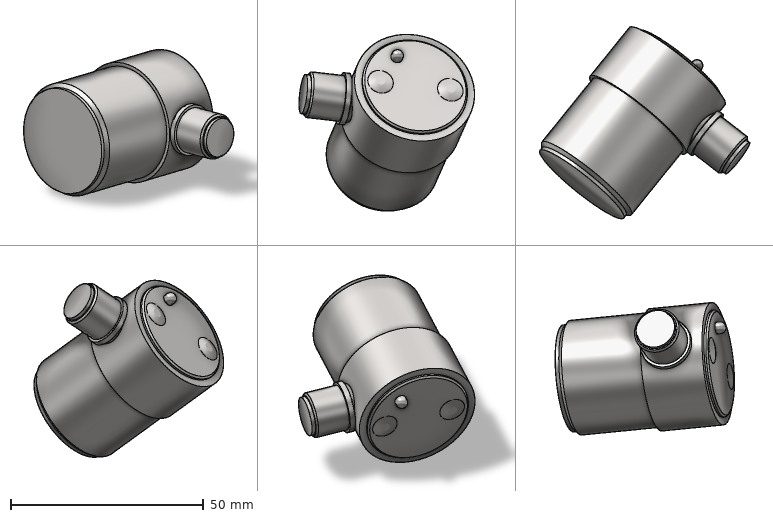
import cadquery as cq
import math

collar_radius = 32 / 2
barrel_radius = 30 / 2
nose_radius = 28 / 2
nose_length = 1
nose_taper = barrel_radius - nose_radius
collar_front = 23.5
collar_back = 40
cap_height = 1
cap_chamfer = 0.5
cap_radius = nose_radius
cap_face = collar_back + cap_height

connector_y = 30.5
connector_radius = 12 / 2
flange_radius = 13.5 / 2
flange_thickness = 1.5
tip_radius = 10.3 / 2
tip_length = 1
connector_chamfer = 0.5
connector_end = 27.5

lamp_x = 5
lamp_z = 7.9
lamp_radius = 3.1 / 2
lamp_end = 43.5

screw_offset = 9.3
screw_head_radius = 3.4
screw_flat_radius = 2.5 / 2
screw_head_height = 0.6


def make_body():
    """Stepped round body with tapered nose and chamfered cap."""
    return (
        cq.Workplane("XY")
        .lineTo(nose_radius, 0)
        .lineTo(nose_radius, nose_length)
        .lineTo(barrel_radius, nose_length + nose_taper)
        .lineTo(barrel_radius, collar_front)
        .lineTo(collar_radius, collar_front)
        .lineTo(collar_radius, collar_back)
        .lineTo(cap_radius, collar_back)
        .lineTo(cap_radius, cap_face - cap_chamfer)
        .lineTo(cap_radius - cap_chamfer, cap_face)
        .lineTo(0, cap_face)
        .close()
        .revolve(360, (0, 0, 0), (0, 1, 0))
    )


def connector_section(start, end, radius):
    """Solid cylinder on the connector axis from X = start to X = end."""
    return (
        cq.Workplane("YZ", origin=(start, connector_y, 0))
        .circle(radius)
        .extrude(end - start)
    )


def make_connector():
    """Side connector: stem from the body axis, flange and reduced tip."""
    stem_end = connector_end - tip_length
    stem = connector_section(0, stem_end, connector_radius)
    stem = stem.faces(">X").chamfer(connector_chamfer)
    flange = connector_section(collar_radius, collar_radius + flange_thickness, flange_radius)
    tip = connector_section(stem_end, connector_end, tip_radius)
    return stem.union(flange).union(tip)


def make_lamp():
    """Short round pin ending in a hemisphere, rooted inside the cap."""
    dome_centre = lamp_end - lamp_radius
    pin = (
        cq.Workplane("XZ", origin=(lamp_x, collar_back, lamp_z))
        .circle(lamp_radius)
        .extrude(collar_back - dome_centre)
    )
    dome = cq.Workplane("XY", origin=(lamp_x, dome_centre, lamp_z)).sphere(lamp_radius)
    return pin.union(dome)


def make_screw_head(x):
    """Shallow spherical dome with a flat crown, rooted inside the cap."""
    radii_term = screw_head_radius**2 - screw_flat_radius**2
    centre_depth = (radii_term - screw_head_height**2) / (2 * screw_head_height)
    sphere_radius = math.hypot(screw_head_radius, centre_depth)
    sphere = cq.Workplane("XY", origin=(x, cap_face - centre_depth, 0)).sphere(sphere_radius)
    root_length = cap_height + screw_head_height
    column = (
        cq.Workplane("XZ", origin=(x, collar_back, 0))
        .circle(screw_head_radius)
        .extrude(-root_length)
    )
    return sphere.intersect(column)


result = make_body().union(make_connector()).union(make_lamp())
for side in (-1, 1):
    result = result.union(make_screw_head(side * screw_offset))